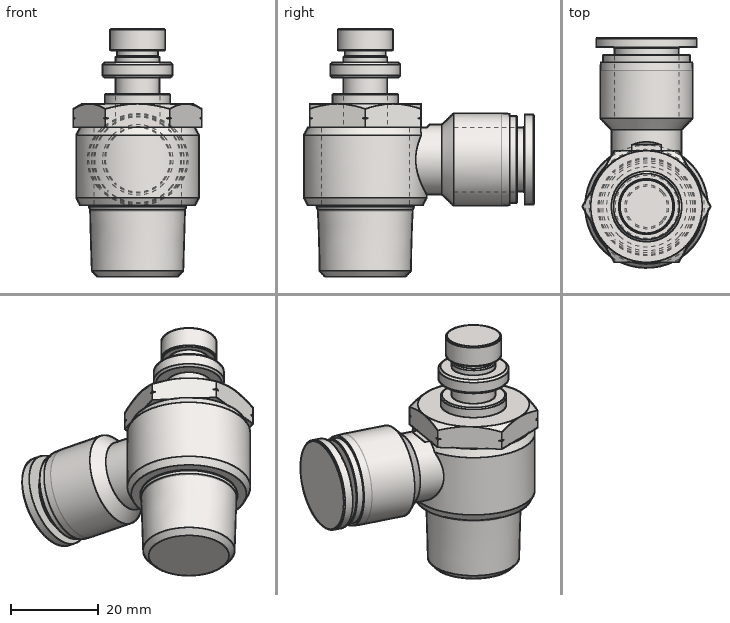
import cadquery as cq
import math

TIP_TOP_Z = 1.35
THREAD_TOP_Z = 15.1
SEAT_BOTTOM_Z = 15.3
SEAT_RIM_Z = 15.95
ELBOW_BOTTOM_Z = 16.3
ELBOW_TOP_Z = 34.0
HEX_TOP_Z = 39.4
COLLAR_TOP_Z = 41.75
DISC_BOTTOM_Z = 45.35
DISC_TOP_Z = 48.8
SHAFT_TOP_Z = 50.35
KNOB_BOTTOM_Z = 51.45
KNOB_TOP_Z = 56.5

TIP_RADIUS = 9.15
THREAD_BOTTOM_RADIUS = 10.45
THREAD_TOP_RADIUS = 10.85
SEAT_RIM_RADIUS = 11.15
SEAT_TOP_RADIUS = 10.95
SHANK_RADIUS = 10.0
HEX_SIDES = 6
HEX_CORNER_DIAMETER = 29.3
HEX_BEVEL_ANGLE = 30.0
MARK_GROOVE_Z = 36.1
MARK_GROOVE_DEPTH = 0.35
MARK_GROOVE_HALF_WIDTH = 0.15
COLLAR_RADIUS = 7.5
COLLAR_CHAMFER = 0.35

SHAFT_RADIUS = 5.05
DISC_RADIUS = 8.0
DISC_CHAMFER = 0.5
NECK_RADIUS = 4.7
KNOB_RADIUS = 6.3
KNOB_CHAMFER = 0.3

ELBOW_RADIUS = 14.0
ELBOW_CONE_HEIGHT = 1.75
ELBOW_CONE_INSET = 0.9
ARM_AXIS_Z = 26.7
ARM_NECK_RADIUS = 8.0
ARM_RADIUS = 10.55
ARM_MOUTH_RADIUS = 10.45
ARM_CAP_RADIUS = 9.95
ARM_CAP_CHAMFER = 0.15
ARM_CONE_START_Y = 17.45
ARM_CONE_END_Y = 20.1
ARM_TAPER_START_Y = 31.0
ARM_TAPER_END_Y = 32.9
ARM_END_Y = 34.6

FLANGE_INNER_Y = 36.3
FLANGE_OUTER_Y = 38.5
FLANGE_HALF_WIDTH = 11.45
FLANGE_HALF_HEIGHT = 10.3
FLANGE_CHAMFER = 0.3
COLLET_RADIUS = 7.35
COLLET_ROOT_SIZE = 0.2


def turned(profile):
    """Solid of revolution about Z from (radius, z) points, closed along the axis."""
    axis_bottom = (0, profile[0][1])
    axis_top = (0, profile[-1][1])
    outline = cq.Workplane("XZ").polyline([axis_bottom, *profile, axis_top]).close()
    return outline.revolve(360, (0, 0, 0), (0, 1, 0))


def laid_along_arm(solid):
    """Turn a solid from the Z axis onto the arm axis, which points to +Y."""
    return solid.rotate((0, 0, 0), (1, 0, 0), -90).translate((0, 0, ARM_AXIS_Z))


def disc(radius, bottom, top):
    """Plain upright cylinder between two levels."""
    return turned([(radius, bottom), (radius, top)])


def make_hexagon():
    """Hexagon with its top corners bevelled and a vee groove across its corners."""
    corner_radius = HEX_CORNER_DIAMETER / 2
    flat_radius = corner_radius * math.cos(math.pi / HEX_SIDES)
    bevel_drop = (corner_radius - flat_radius) * math.tan(math.radians(HEX_BEVEL_ANGLE))
    prism = (
        cq.Workplane("XY")
        .workplane(offset=ELBOW_TOP_Z)
        .polygon(HEX_SIDES, HEX_CORNER_DIAMETER)
        .extrude(HEX_TOP_Z - ELBOW_TOP_Z)
    )
    envelope = turned([
        (corner_radius, ELBOW_TOP_Z),
        (corner_radius, MARK_GROOVE_Z - MARK_GROOVE_HALF_WIDTH),
        (corner_radius - MARK_GROOVE_DEPTH, MARK_GROOVE_Z),
        (corner_radius, MARK_GROOVE_Z + MARK_GROOVE_HALF_WIDTH),
        (corner_radius, HEX_TOP_Z - bevel_drop),
        (flat_radius, HEX_TOP_Z),
    ])
    return prism.intersect(envelope)


def make_stud():
    """Tapered thread, sealing ring, shank, hexagon and collar, with a socket for the needle."""
    lower = turned([
        (TIP_RADIUS, 0),
        (THREAD_BOTTOM_RADIUS, TIP_TOP_Z),
        (THREAD_TOP_RADIUS, THREAD_TOP_Z),
        (THREAD_TOP_RADIUS, SEAT_BOTTOM_Z),
        (SEAT_RIM_RADIUS, SEAT_RIM_Z),
        (SEAT_TOP_RADIUS, ELBOW_BOTTOM_Z),
        (SHANK_RADIUS, ELBOW_BOTTOM_Z),
        (SHANK_RADIUS, ELBOW_TOP_Z),
    ])
    collar = disc(COLLAR_RADIUS, HEX_TOP_Z, COLLAR_TOP_Z).faces(">Z").chamfer(COLLAR_CHAMFER)
    socket = disc(SHAFT_RADIUS, ELBOW_TOP_Z, COLLAR_TOP_Z)
    return lower.union(make_hexagon()).union(collar).cut(socket)


def make_needle():
    """Shaft with a stop disc and a knob; its lower end fills the stud's socket."""
    shaft_chamfer = SHAFT_RADIUS - NECK_RADIUS
    shaft = disc(SHAFT_RADIUS, ELBOW_TOP_Z, SHAFT_TOP_Z).faces(">Z").chamfer(shaft_chamfer)
    stop = disc(DISC_RADIUS, DISC_BOTTOM_Z, DISC_TOP_Z).edges().chamfer(DISC_CHAMFER)
    neck = disc(NECK_RADIUS, SHAFT_TOP_Z, KNOB_BOTTOM_Z)
    knob = disc(KNOB_RADIUS, KNOB_BOTTOM_Z, KNOB_TOP_Z).faces("<Z or >Z").chamfer(KNOB_CHAMFER)
    return shaft.union(stop).union(neck).union(knob)


def make_arm():
    """Side arm from the stud axis to the tube mouth, before the bores are cut."""
    arm = turned([
        (ARM_NECK_RADIUS, 0),
        (ARM_NECK_RADIUS, ARM_CONE_START_Y),
        (ARM_RADIUS, ARM_CONE_END_Y),
        (ARM_RADIUS, ARM_TAPER_START_Y),
        (ARM_MOUTH_RADIUS, ARM_TAPER_END_Y),
        (ARM_CAP_RADIUS, ARM_TAPER_END_Y),
        (ARM_CAP_RADIUS, ARM_END_Y - ARM_CAP_CHAMFER),
        (ARM_CAP_RADIUS - ARM_CAP_CHAMFER, ARM_END_Y),
    ])
    return laid_along_arm(arm)


def make_hexagon_clearance():
    """Block that flattens the arm top below the hexagon, ending in a 45 degree slope."""
    height = ARM_AXIS_Z + ARM_RADIUS - ELBOW_TOP_Z
    return (
        cq.Workplane("YZ")
        .polyline([
            (0, ELBOW_TOP_Z),
            (ELBOW_RADIUS, ELBOW_TOP_Z),
            (ELBOW_RADIUS + height, ELBOW_TOP_Z + height),
            (0, ELBOW_TOP_Z + height),
        ])
        .close()
        .extrude(ARM_NECK_RADIUS, both=True)
    )


def make_elbow():
    """Barrel around the stud with the side arm, bored for the stud and the collet."""
    end_radius = ELBOW_RADIUS - ELBOW_CONE_INSET
    barrel = turned([
        (end_radius, ELBOW_BOTTOM_Z),
        (ELBOW_RADIUS, ELBOW_BOTTOM_Z + ELBOW_CONE_HEIGHT),
        (ELBOW_RADIUS, ELBOW_TOP_Z - ELBOW_CONE_HEIGHT),
        (end_radius, ELBOW_TOP_Z),
    ])
    arm = make_arm().cut(make_hexagon_clearance())
    stud_bore = disc(SHANK_RADIUS, ELBOW_BOTTOM_Z, ELBOW_TOP_Z)
    collet_bore = laid_along_arm(disc(COLLET_RADIUS, ARM_CONE_END_Y, ARM_END_Y))
    return barrel.union(arm).cut(stud_bore).cut(collet_bore)


def make_collet():
    """Sleeve that fills the arm's bore, with an oval release flange."""
    sleeve = turned([
        (COLLET_RADIUS, ARM_CONE_END_Y),
        (COLLET_RADIUS, FLANGE_INNER_Y - COLLET_ROOT_SIZE),
        (COLLET_RADIUS + COLLET_ROOT_SIZE, FLANGE_INNER_Y),
    ])
    flange = (
        cq.Workplane("XY")
        .workplane(offset=FLANGE_INNER_Y)
        .ellipse(FLANGE_HALF_WIDTH, FLANGE_HALF_HEIGHT)
        .extrude(FLANGE_OUTER_Y - FLANGE_INNER_Y)
        .faces(">Z")
        .chamfer(FLANGE_CHAMFER)
    )
    return laid_along_arm(sleeve.union(flange))


stud = make_stud()
needle = make_needle()
elbow = make_elbow()
collet = make_collet()

result = cq.Compound.makeCompound([stud.val(), needle.val(), elbow.val(), collet.val()])